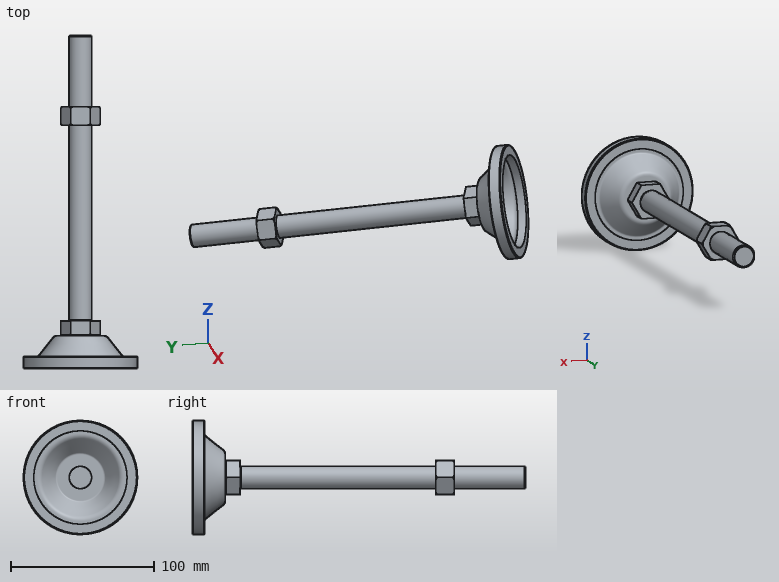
import cadquery as cq
import math

FOOT_LENGTH = 233.0
PAD_DIAMETER = 80.0
floor_y = -FOOT_LENGTH / 2

pad_height = 8.6
pad_bore_radius = 32.6
pad_edge_chamfer = 0.7

sheet_thickness = 2.5
cone_height = 23.0
cone_top_radius = 18.2
cone_base_radius = 29.5
inner_crown_fillet = 1.6
outer_crown_fillet = inner_crown_fillet + sheet_thickness
outer_flare_fillet = 1.9
inner_flare_fillet = outer_flare_fillet + sheet_thickness

stud_diameter = 16.0
tip_diameter = 15.5
stud_end_chamfer = 1.0
tip_bottom = 10.0
hex_bottom = 23.5
hex_height = 9.8
hex_chamfer = 0.5

across_flats = 24.0
nut_height = 13.0
nut_bottom = 170.0
nut_chamfer = 1.0

corner_radius = across_flats / math.sqrt(3)


def cylinder(radius, start, length):
    """Cylinder along +Y, starting at a height above the floor."""
    return (
        cq.Workplane("XZ", origin=(0, floor_y + start, 0))
        .circle(radius)
        .extrude(-length)
    )


def hexagon(start, height, bottom_chamfer, top_chamfer=0):
    """Hexagonal prism with corners on the X axis and conically trimmed ends."""
    prism = (
        cq.Workplane("XZ", origin=(0, floor_y + start, 0))
        .polygon(6, 2 * corner_radius)
        .extrude(-height)
    )
    trim = cylinder(corner_radius, start, height)
    trim = trim.faces("<Y").chamfer(bottom_chamfer)
    if top_chamfer:
        trim = trim.faces(">Y").chamfer(top_chamfer)
    return prism.intersect(trim)


def make_pad():
    ring = cylinder(PAD_DIAMETER / 2, 0, pad_height).edges().chamfer(pad_edge_chamfer)
    return ring.cut(cylinder(pad_bore_radius, 0, pad_height))


def make_cone():
    """Revolved sheet of constant thickness: crown, sloping wall and flange."""
    slope_run = cone_base_radius - cone_top_radius
    slope_rise = cone_height - pad_height
    wall_width = sheet_thickness * math.hypot(slope_run, slope_rise) / slope_rise
    run_per_rise = slope_run / slope_rise
    inward_shift = wall_width - sheet_thickness * run_per_rise

    outer = revolved([
        (0, cone_height),
        (cone_top_radius, cone_height),
        (cone_base_radius, pad_height),
        (pad_bore_radius, pad_height),
        (pad_bore_radius, pad_height - sheet_thickness),
        (0, pad_height - sheet_thickness),
    ])
    outer = outer.edges(cq.selectors.RadiusNthSelector(1)).fillet(outer_flare_fillet)
    outer = outer.faces(">Y").edges().fillet(outer_crown_fillet)

    cavity = revolved([
        (0, cone_height - sheet_thickness),
        (cone_top_radius - inward_shift, cone_height - sheet_thickness),
        (cone_base_radius - inward_shift, pad_height - sheet_thickness),
        (0, pad_height - sheet_thickness),
    ])
    cavity = cavity.faces(">Y").edges().fillet(inner_crown_fillet)

    cone = outer.cut(cavity)
    cone = cone.faces("<Y").edges(cq.selectors.RadiusNthSelector(0)).fillet(inner_flare_fillet)
    return cone.cut(cylinder(tip_diameter / 2, 0, cone_height))


def revolved(points):
    """Solid of revolution from (radius, height above the floor) points."""
    return (
        cq.Workplane("XY", origin=(0, floor_y, 0))
        .polyline(points)
        .close()
        .revolve(360, (0, 0, 0), (0, 1, 0))
    )


def make_stud():
    """Chamfered rod above the hexagon and a plain tip passing through the cone."""
    hex_top = hex_bottom + hex_height
    rod = cylinder(stud_diameter / 2, hex_top, FOOT_LENGTH - hex_top)
    rod = rod.edges("%CIRCLE").chamfer(stud_end_chamfer)
    tip = cylinder(tip_diameter / 2, tip_bottom, hex_bottom - tip_bottom)
    collar = hexagon(hex_bottom, hex_height, hex_chamfer)
    return collar.union(rod).union(tip)


def make_nut():
    nut = hexagon(nut_bottom, nut_height, nut_chamfer, nut_chamfer)
    return nut.cut(cylinder(stud_diameter / 2, nut_bottom, nut_height))


pad = make_pad()
cone = make_cone()
stud = make_stud()
nut = make_nut()

result = cq.Compound.makeCompound([pad.val(), cone.val(), stud.val(), nut.val()])